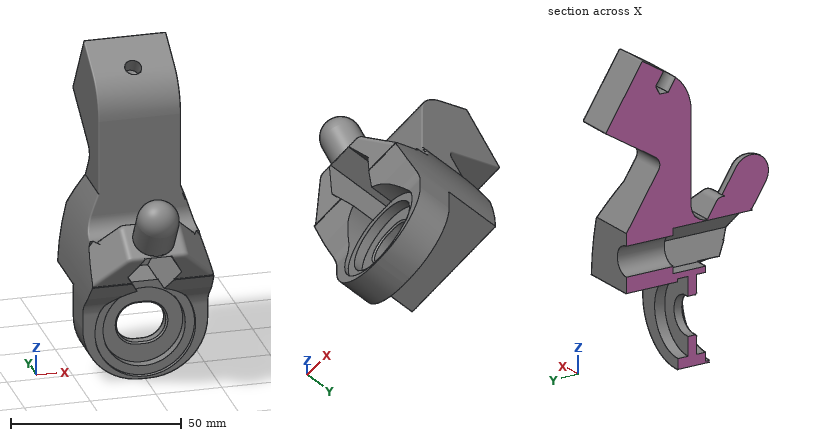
import cadquery as cq
import math


TILT = math.radians(32.5)
SIN = math.sin(TILT)
COS = math.cos(TILT)

WIDTH = 38.0
HEAD_WIDTH = 25.0
FOOT_RADIUS = 17.75
STRAIGHT_SIDE_TOP = 24.6
HEAD_SIDE_START = 57.6

PLATE_THICKNESS = 11.1
BODY_BACK_Y = 29.1
BODY_BOTTOM_Z = 27.6
WALL_Y = 6.3
HEAD_TOP_CORNER = (23.5, 99.71)
HEAD_LENGTH = 24.0
HEAD_FRONT_RADIUS = 15.0
NAPE_CORNER = (16.3, 66.7)
NAPE_RADIUS = 3.0
VALLEY_RADIUS = 5.5
VALLEY_FLOOR_Z = 45.2
VALLEY_LIP_HEIGHT = 2.4
CHIN_POINTS = [(-9.1, 34.5), (-4.8, 29.1), (-1.3, 25.6)]
CHIN_FILLET_END_Z = 21.9
CHIN_FILLET_RADIUS = 5.5
EDGE_ROUND = 0.45

BALL_DIAMETER = 12.5
BALL_CENTER = (-14.5, 56.2)
ARM_END_TO_BALL = 9.15
ARM_DEPTH = 14.0
ARM_END_HALF_WIDTH = 8.7
ARM_FLARE = math.radians(40)
ARM_LENGTH = 12.0
ARM_ROUND = 2.5
ARM_UNDERSIDE_ROUND = 1.2

RING_Z = 16.05
RIM_DIAMETER = 30.6
RIM_DEPTH = 1.35
RECESS_DIAMETER = 25.0
RECESS_DEPTH = 4.35
SLOT_LENGTH = 15.0
SLOT_HEIGHT = 12.5
SLOT_CHAMFER = 0.5
WEB_THICKNESS = 3.2

HEX_Z = 37.7
HEX_ACROSS_FLATS = 14.1
HEX_FLOOR_Y = 12.7
BOLT_HOLE_DIAMETER = 9.6

HEAD_HOLE_DIAMETER = 5.0
HEAD_HOLE_DEPTH = 5.0
HEAD_HOLE_TO_CORNER = 11.4
DRILL_POINT_HALF_ANGLE = math.radians(59)

REACH = 60.0


def cylinder_along_y(diameter, z, y_start, y_end):
    """Cylinder on the middle plane, running along Y."""
    return cq.Workplane("XZ", origin=(0, y_start, z)).circle(diameter / 2).extrude(y_start - y_end)


def make_outline():
    """Solid with the front outline: round foot, curved flanks, narrow head."""
    half = WIDTH / 2
    head_half = HEAD_WIDTH / 2
    flat_half = half - FOOT_RADIUS
    rise = HEAD_SIDE_START - STRAIGHT_SIDE_TOP
    inset = half - head_half
    flank_radius = (rise**2 + inset**2) / (2 * inset)
    top = HEAD_TOP_CORNER[1] + 1
    half_outline = (
        cq.Workplane("XZ", origin=(0, REACH, 0))
        .lineTo(flat_half, 0)
        .radiusArc((half, FOOT_RADIUS), -FOOT_RADIUS)
        .lineTo(half, STRAIGHT_SIDE_TOP)
        .radiusArc((head_half, HEAD_SIDE_START), -flank_radius)
        .lineTo(head_half, top)
        .lineTo(0, top)
        .close()
        .extrude(2 * REACH)
    )
    return half_outline.union(half_outline.mirror("YZ"))


def make_body_slab():
    """Side profile of plate, body, neck and head, at full width."""
    corner_y, corner_z = HEAD_TOP_CORNER
    head_low_corner = (corner_y + HEAD_LENGTH * SIN, corner_z - HEAD_LENGTH * COS)
    top_edge_foot = (WALL_Y, corner_z - (corner_y - WALL_Y) * SIN / COS)
    turn = math.pi / 2 - TILT
    tangent = HEAD_FRONT_RADIUS * math.tan(turn / 2)
    arc_start = (WALL_Y, top_edge_foot[1] - tangent)
    arc_end = (WALL_Y + tangent * COS, top_edge_foot[1] + tangent * SIN)
    nape_y, nape_z = NAPE_CORNER
    nape_upper = (nape_y + NAPE_RADIUS * COS, nape_z + NAPE_RADIUS * SIN)
    nape_lower = (nape_y + NAPE_RADIUS * SIN, nape_z - NAPE_RADIUS * COS)
    slope_foot_z = nape_z - (BODY_BACK_Y - nape_y) * COS / SIN
    valley_y = WALL_Y - VALLEY_RADIUS
    profile = (
        cq.Workplane("YZ", origin=(-WIDTH / 2, 0, 0))
        .lineTo(PLATE_THICKNESS, 0)
        .lineTo(PLATE_THICKNESS, BODY_BOTTOM_Z)
        .lineTo(BODY_BACK_Y, BODY_BOTTOM_Z)
        .lineTo(BODY_BACK_Y, slope_foot_z)
        .lineTo(*nape_lower)
        .radiusArc(nape_upper, NAPE_RADIUS)
        .lineTo(*head_low_corner)
        .lineTo(*HEAD_TOP_CORNER)
        .lineTo(*arc_end)
        .radiusArc(arc_start, -HEAD_FRONT_RADIUS)
        .lineTo(WALL_Y, VALLEY_FLOOR_Z + VALLEY_RADIUS)
        .radiusArc((valley_y, VALLEY_FLOOR_Z), VALLEY_RADIUS)
        .lineTo(valley_y, VALLEY_FLOOR_Z - VALLEY_LIP_HEIGHT)
        .polyline(CHIN_POINTS, includeCurrent=True)
        .radiusArc((0, CHIN_FILLET_END_Z), CHIN_FILLET_RADIUS)
        .close()
    )
    return profile.extrude(WIDTH)


def round_profile_edges(body):
    """Round the side edges of head, neck and shoulders and the two ends of the head's back face."""
    upper_body = cq.selectors.BoxSelector((-WIDTH, WALL_Y - 1, VALLEY_FLOOR_Z), (WIDTH, REACH, 2 * REACH))
    side_edges = body.edges(upper_body).edges("not (|X or |Y)")
    head_back_ends = body.edges(">Y or >Z").edges("|X")
    return body.newObject(side_edges.vals() + head_back_ends.vals()).fillet(EDGE_ROUND)


def make_ball_arm(outline):
    """Flared, rounded arm trimmed to the outline, with a ball-ended pin on its end face."""
    ball_y, ball_z = BALL_CENTER
    end_plane = cq.Plane(
        origin=(0, ball_y + ARM_END_TO_BALL * SIN, ball_z - ARM_END_TO_BALL * COS),
        xDir=(1, 0, 0),
        normal=(0, -SIN, COS),
    )
    base_half_width = ARM_END_HALF_WIDTH + ARM_LENGTH * math.tan(ARM_FLARE)
    block = (
        cq.Workplane("XZ")
        .moveTo(-ARM_END_HALF_WIDTH, 0)
        .lineTo(ARM_END_HALF_WIDTH, 0)
        .lineTo(base_half_width, -ARM_LENGTH)
        .lineTo(-base_half_width, -ARM_LENGTH)
        .close()
        .extrude(ARM_DEPTH / 2, both=True)
    )
    arm = block.edges("|Y and >Z").fillet(ARM_ROUND)
    arm = arm.faces(">Y").edges("not <Z").fillet(ARM_ROUND)
    arm = arm.faces("<Y").edges("not <Z").fillet(ARM_UNDERSIDE_ROUND)
    shank = cq.Workplane("XY").circle(BALL_DIAMETER / 2).extrude(ARM_END_TO_BALL)
    ball = cq.Workplane("XY", origin=(0, 0, ARM_END_TO_BALL)).sphere(BALL_DIAMETER / 2)
    placed_arm = arm.val().moved(end_plane.location)
    placed_pin = shank.union(ball).val().moved(end_plane.location)
    rear_half = block.intersect(cq.Workplane("XY").box(REACH, REACH, REACH, centered=(True, False, True)))
    placed_rear_half = rear_half.val().moved(end_plane.location)
    below_valley = cq.Workplane("XY").box(REACH, REACH, VALLEY_FLOOR_Z, centered=(True, True, False))
    seat = cq.Workplane(placed_rear_half).intersect(below_valley)
    trimmed_arm = cq.Workplane(placed_arm).union(seat).intersect(outline)
    return trimmed_arm.union(cq.Workplane(placed_pin))


def cut_ring_recesses(part):
    """Stepped front recess and plain rear recess, joined by a chamfered slot through the web."""
    part = part.cut(cylinder_along_y(RIM_DIAMETER, RING_Z, -REACH, RIM_DEPTH))
    part = part.cut(cylinder_along_y(RECESS_DIAMETER, RING_Z, -REACH, RECESS_DEPTH))
    slot = (
        cq.Workplane("XZ", origin=(0, RECESS_DEPTH, RING_Z))
        .slot2D(SLOT_LENGTH, SLOT_HEIGHT)
        .extrude(RECESS_DEPTH - PLATE_THICKNESS)
    )
    chamfer = (
        cq.Workplane("XZ", origin=(0, RECESS_DEPTH, RING_Z))
        .slot2D(SLOT_LENGTH + 2 * SLOT_CHAMFER, SLOT_HEIGHT + 2 * SLOT_CHAMFER)
        .extrude(-SLOT_CHAMFER, taper=45)
    )
    rear_recess = cylinder_along_y(
        RECESS_DIAMETER, RING_Z, RECESS_DEPTH + WEB_THICKNESS, PLATE_THICKNESS
    )
    return part.cut(slot).cut(chamfer).cut(rear_recess)


def cut_bolt_pocket(part):
    """Hexagonal pocket from the front, with a round hole on to the back."""
    across_corners = HEX_ACROSS_FLATS / math.cos(math.pi / 6)
    pocket = (
        cq.Workplane("XZ", origin=(0, HEX_FLOOR_Y, HEX_Z))
        .polygon(6, across_corners)
        .extrude(REACH)
    )
    hole = cylinder_along_y(BOLT_HOLE_DIAMETER, HEX_Z, 0, BODY_BACK_Y)
    return part.cut(pocket).cut(hole)


def cut_head_hole(part):
    """Blind drilled hole square to the sloping top of the head."""
    corner_y, corner_z = HEAD_TOP_CORNER
    run = HEAD_HOLE_TO_CORNER
    top_plane = cq.Plane(
        origin=(0, corner_y - run * COS, corner_z - run * SIN),
        xDir=(1, 0, 0),
        normal=(0, -SIN, COS),
    )
    radius = HEAD_HOLE_DIAMETER / 2
    hole = cq.Workplane(top_plane).circle(radius).extrude(HEAD_HOLE_DEPTH, both=True)
    drill_point = cq.Solid.makeCone(
        radius,
        0,
        radius / math.tan(DRILL_POINT_HALF_ANGLE),
        pnt=top_plane.toWorldCoords((0, 0, -HEAD_HOLE_DEPTH)),
        dir=-top_plane.zDir,
    )
    return part.cut(hole).cut(cq.Workplane(drill_point))


outline = make_outline()
body = make_body_slab().intersect(outline)
body = round_profile_edges(body)
result = body.union(make_ball_arm(outline))
result = cut_ring_recesses(result)
result = cut_bolt_pocket(result)
result = cut_head_hole(result)